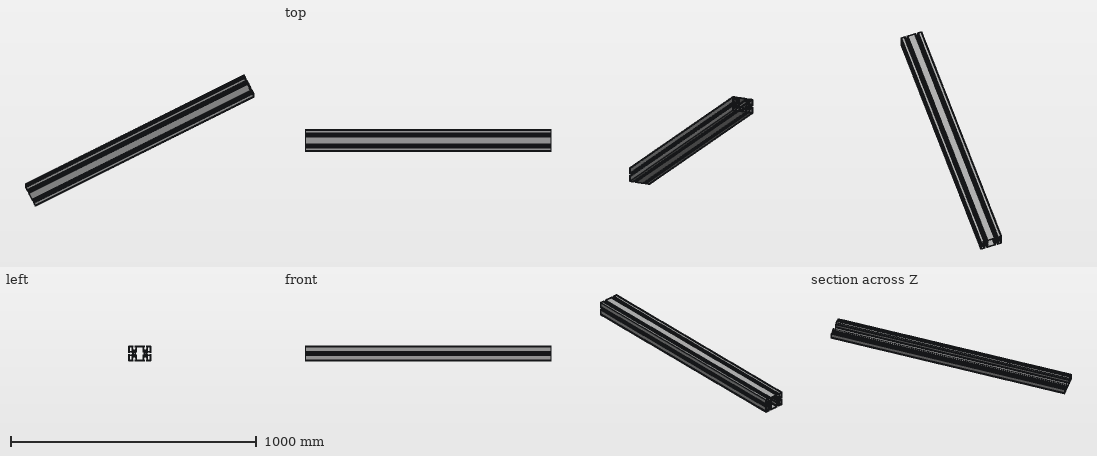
import cadquery as cq

length = 1000.0
width = 90.0
height = 60.0
corner_radius = 2.3
wall = 3.4

slot_offset = width / 4
slot_opening = 8.2
slot_depth = 16.0
chamber_lip_width = 12.0
chamber_half_width = 7.3
chamber_widest_depth = 8.5
chamber_floor_width = 7.0
groove_width = 2.0
groove_depth = 1.0

bore_diameter = 7.3
bore_wall = 2.3
core_cavity_bottom = 8.0
core_cavity_height = 4.0
core_cavity_bottom_width = 14.0
core_cavity_top_width = 11.0

web = 1.2
center_waist_height = 13.0

start_x = -length / 2
inner_y = width / 2 - wall
inner_z = height / 2 - wall
corner_cavity_low_y = slot_offset + chamber_half_width + web
corner_cavity_low_z = chamber_half_width + web
center_half_width = slot_offset - chamber_half_width - web
waist_half_width = slot_offset - bore_diameter / 2 - bore_wall


def prism(points):
    """Full-length prism with the given (y, z) outline."""
    return cq.Workplane("YZ", origin=(start_x, 0, 0)).polyline(points).close().extrude(length)


def slot_outline():
    """Closed T-slot outline as (offset from the slot's middle, depth below the face) pairs."""
    half = [
        (slot_opening / 2, 0),
        (slot_opening / 2, wall),
        (chamber_lip_width / 2, wall),
        (chamber_half_width, chamber_widest_depth),
        (chamber_floor_width / 2, slot_depth),
        (groove_width / 2, slot_depth),
    ]
    groove_bottom = [(0, slot_depth + groove_depth)]
    other_half = [(-offset, depth) for offset, depth in reversed(half)]
    return half + groove_bottom + other_half


def side_slot(side):
    """T-slot in the middle of the -Y or +Y face."""
    return prism([(side * (width / 2 - depth), offset) for offset, depth in slot_outline()])


def flat_slot(side, level):
    """T-slot in the top or bottom face."""
    middle = side * slot_offset
    return prism([(middle + offset, level * (height / 2 - depth)) for offset, depth in slot_outline()])


def core_bore(side):
    """Round bore in line with the top and bottom slots, at mid-height."""
    plane = cq.Workplane("YZ", origin=(start_x, side * slot_offset, 0))
    return plane.circle(bore_diameter / 2).extrude(length)


def core_cavity(side, level):
    """Trapezoidal hollow between a bore and a top or bottom slot, narrower toward the slot."""
    core_cavity_top = core_cavity_bottom + core_cavity_height
    outline = [
        (-core_cavity_bottom_width / 2, core_cavity_bottom),
        (core_cavity_bottom_width / 2, core_cavity_bottom),
        (core_cavity_top_width / 2, core_cavity_top),
        (-core_cavity_top_width / 2, core_cavity_top),
    ]
    return prism([(side * slot_offset + offset, level * z) for offset, z in outline])


def corner_cavity(side, level):
    """Rectangular hollow inside one corner of the section."""
    outline = [
        (corner_cavity_low_y, corner_cavity_low_z),
        (inner_y, corner_cavity_low_z),
        (inner_y, inner_z),
        (corner_cavity_low_y, inner_z),
    ]
    return prism([(side * y, level * z) for y, z in outline])


def center_cavity():
    """Tall central hollow with a wider stretch between the bores."""
    tall = cq.Workplane("XY").box(length, 2 * center_half_width, 2 * inner_z)
    waist = cq.Workplane("XY").box(length, 2 * waist_half_width, center_waist_height)
    return tall.union(waist)


result = cq.Workplane("XY").box(length, width, height).edges("|X").fillet(corner_radius)
result = result.cut(center_cavity())
for side in (-1, 1):
    result = result.cut(side_slot(side)).cut(core_bore(side))
    for level in (-1, 1):
        result = result.cut(flat_slot(side, level))
        result = result.cut(core_cavity(side, level))
        result = result.cut(corner_cavity(side, level))